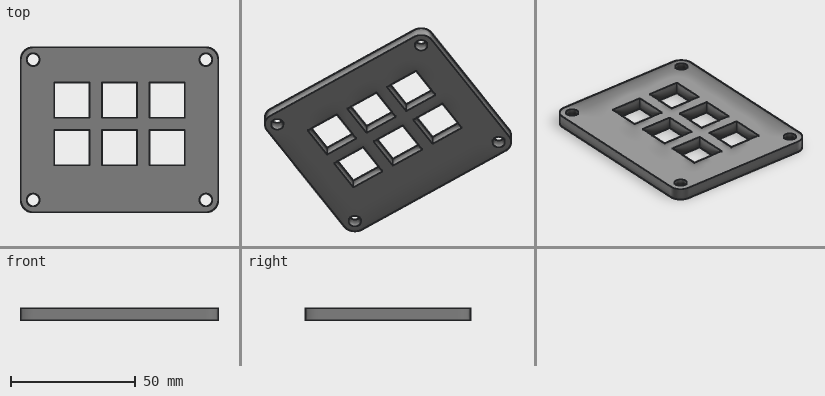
import cadquery as cq

plate_length = 79.16
plate_width = 66.2
plate_thickness = 4.95
corner_radius = 5.0

screw_hole_diameter = 5.01
screw_spacing_x = plate_length - 2 * corner_radius
screw_spacing_y = plate_width - 2 * corner_radius

switch_columns = 3
switch_rows = 2
switch_pitch = 19.05
switch_opening = 14.0
switch_grid_offset_y = 2.38


def make_plate():
    """Flat plate with rounded vertical corners, resting on Z = 0."""
    blank = cq.Workplane("XY").box(
        plate_length, plate_width, plate_thickness, centered=(True, True, False)
    )
    return blank.edges("|Z").fillet(corner_radius)


def make_screw_holes():
    """Cutters for the four through holes at the corners."""
    return (
        cq.Workplane("XY")
        .rect(screw_spacing_x, screw_spacing_y, forConstruction=True)
        .vertices()
        .circle(screw_hole_diameter / 2)
        .extrude(plate_thickness)
    )


def make_switch_openings():
    """Cutters for the grid of square through openings."""
    return (
        cq.Workplane("XY")
        .center(0, switch_grid_offset_y)
        .rarray(switch_pitch, switch_pitch, switch_columns, switch_rows)
        .rect(switch_opening, switch_opening)
        .extrude(plate_thickness)
    )


result = make_plate().cut(make_screw_holes()).cut(make_switch_openings())